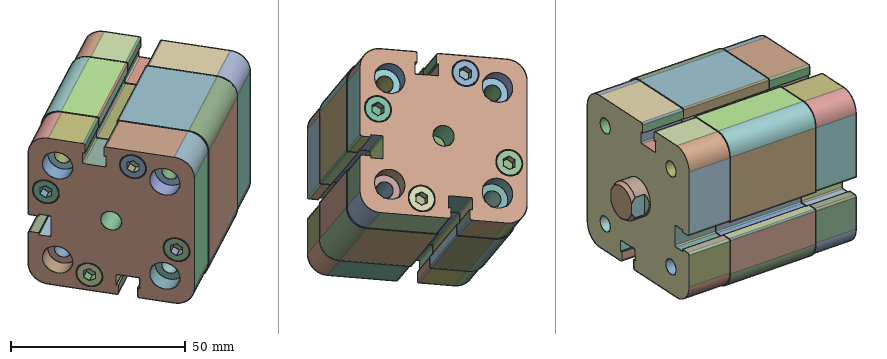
import cadquery as cq
import math


CAP_LENGTH = 14.5
BARREL_LENGTH = 30.5
HOUSING_LENGTH = 2 * CAP_LENGTH + BARREL_LENGTH

BARREL_SIDE = 50.1
CAP_INSET = 0.25
CAP_SIDE = BARREL_SIDE - 2 * CAP_INSET
CORNER_RADIUS = 6.0

SLOT_OFFSET = 5.0
SLOT_ANGLES = (0, 90, 180)
BARREL_NECK_WIDTH = 5.4
BARREL_MOUTH_RADIUS = 0.5
CAP_NECK_WIDTH = 5.7
CAP_MOUTH_RADIUS = 0.6
CAP_SLOT_WIDTH = 7.0
CAP_SLOT_FLOOR = 18.0
BARREL_SLOT_WIDTH = CAP_SLOT_WIDTH + 2 * CAP_INSET
BARREL_SLOT_FLOOR = CAP_SLOT_FLOOR - CAP_INSET
SLOT_LEDGE = 21.6
SLOT_FLOOR_RADIUS = 0.4
SLOT_OVERSHOOT = 1.0

MOUNT_SPACING = 32.0
MOUNT_DIAMETER = 4.92
MOUNT_BORE_DIAMETER = 9.0
MOUNT_BORE_DEPTH = 5.5

SCREW_X = 6.5
SCREW_Z = 19.5
SCREW_HEAD_DIAMETER = 7.5
SCREW_RECESS_DIAMETER = 8.0
SCREW_RECESS_DEPTH = 4.0
SOCKET_ACROSS_FLATS = 3.5
SOCKET_DEPTH = 3.0

CENTER_HOLE_DIAMETER = 6.25
CENTER_HOLE_DEPTH = 10.0

ROD_DIAMETER = 12.0
ROD_LENGTH = 6.0
ROD_ACROSS_FLATS = 10.0
ROD_FLAT_LENGTH = 4.6
ROD_CHAMFER_LENGTH = 1.3
ROD_CHAMFER_DEPTH = ROD_CHAMFER_LENGTH * math.tan(math.radians(30))


def section(y):
    """Workplane at height y whose local axes are X and Z and whose normal is -Y."""
    return cq.Workplane("XZ", origin=(0, y, 0))


def slot_cutter(side, neck_width, mouth_radius, slot_width, slot_floor, y_start, length):
    """T-slot prism with rounded mouth edges, on the +Z face."""
    face = side / 2
    neck = neck_width / 2
    mouth = neck + mouth_radius
    arc_reach = mouth_radius * (1 - math.sqrt(0.5))
    arc_x = neck + arc_reach
    arc_z = face - arc_reach
    top = face + SLOT_OVERSHOOT
    undercut = (
        section(y_start)
        .center(-SLOT_OFFSET, (slot_floor + SLOT_LEDGE) / 2)
        .rect(slot_width, SLOT_LEDGE - slot_floor)
        .extrude(-length)
        .edges("|Y and <Z")
        .fillet(SLOT_FLOOR_RADIUS)
    )
    throat = (
        section(y_start)
        .center(-SLOT_OFFSET, 0)
        .moveTo(neck, SLOT_LEDGE)
        .lineTo(neck, face - mouth_radius)
        .threePointArc((arc_x, arc_z), (mouth, face))
        .lineTo(mouth, top)
        .lineTo(-mouth, top)
        .lineTo(-mouth, face)
        .threePointArc((-arc_x, arc_z), (-neck, face - mouth_radius))
        .lineTo(-neck, SLOT_LEDGE)
        .close()
        .extrude(-length)
    )
    return undercut.union(throat)


def housing_segment(side, neck_width, mouth_radius, slot_width, slot_floor, y_start, length):
    """Rounded square block with the three sensor slots cut along it."""
    block = section(y_start).rect(side, side).extrude(-length).edges("|Y").fillet(CORNER_RADIUS)
    cutter = slot_cutter(side, neck_width, mouth_radius, slot_width, slot_floor, y_start, length)
    for angle in SLOT_ANGLES:
        block = block.cut(cutter.rotate((0, 0, 0), (0, -1, 0), angle))
    return block


def cap(y_start):
    """One of the two identical end blocks."""
    return housing_segment(
        side=CAP_SIDE,
        neck_width=CAP_NECK_WIDTH,
        mouth_radius=CAP_MOUTH_RADIUS,
        slot_width=CAP_SLOT_WIDTH,
        slot_floor=CAP_SLOT_FLOOR,
        y_start=y_start,
        length=CAP_LENGTH,
    )


def barrel():
    """Middle profile, standing slightly proud of the caps, with slightly larger undercuts."""
    return housing_segment(
        side=BARREL_SIDE,
        neck_width=BARREL_NECK_WIDTH,
        mouth_radius=BARREL_MOUTH_RADIUS,
        slot_width=BARREL_SLOT_WIDTH,
        slot_floor=BARREL_SLOT_FLOOR,
        y_start=CAP_LENGTH,
        length=BARREL_LENGTH,
    )


def housing():
    """End cap, barrel and bearing cap in line."""
    return cap(0).union(barrel()).union(cap(CAP_LENGTH + BARREL_LENGTH))


def mounting_holes():
    """Four through holes, each counterbored at the end face."""
    corners = section(0).rect(MOUNT_SPACING, MOUNT_SPACING, forConstruction=True).vertices()
    through = corners.circle(MOUNT_DIAMETER / 2).extrude(-HOUSING_LENGTH)
    bores = corners.circle(MOUNT_BORE_DIAMETER / 2).extrude(-MOUNT_BORE_DEPTH)
    return through.union(bores)


def screw_recesses():
    """Clearance ring and hexagon socket of the four cap screws."""
    points = [(SCREW_X, SCREW_Z), (-SCREW_Z, SCREW_X), (-SCREW_X, -SCREW_Z), (SCREW_Z, -SCREW_X)]
    rings = (
        section(0)
        .pushPoints(points)
        .circle(SCREW_RECESS_DIAMETER / 2)
        .circle(SCREW_HEAD_DIAMETER / 2)
        .extrude(-SCREW_RECESS_DEPTH)
    )
    socket_corner_diameter = SOCKET_ACROSS_FLATS / math.cos(math.pi / 6)
    socket = (
        section(0)
        .polygon(6, socket_corner_diameter)
        .extrude(-SOCKET_DEPTH)
        .rotate((0, 0, 0), (0, 1, 0), 90)
    )
    for x, z in points:
        rings = rings.union(socket.translate((x, 0, z)))
    return rings


def center_hole():
    """Blind hole on the cylinder axis."""
    return section(0).circle(CENTER_HOLE_DIAMETER / 2).extrude(-CENTER_HOLE_DEPTH)


def rod_flat_cutter():
    """Wrench flat on the +X side, running out at 45 degrees towards the housing."""
    tip = HOUSING_LENGTH + ROD_LENGTH
    flat_end = tip - ROD_FLAT_LENGTH
    flat_x = ROD_ACROSS_FLATS / 2
    runout = ROD_DIAMETER / 2 - flat_x
    return (
        cq.Workplane("XY")
        .moveTo(flat_x, tip)
        .lineTo(flat_x, flat_end)
        .lineTo(flat_x + runout, flat_end - runout)
        .lineTo(flat_x + runout, tip)
        .close()
        .extrude(ROD_DIAMETER / 2, both=True)
    )


def piston_rod():
    """Protruding rod with a slim end chamfer and two wrench flats."""
    rod = (
        section(HOUSING_LENGTH)
        .circle(ROD_DIAMETER / 2)
        .extrude(-ROD_LENGTH)
        .faces(">Y")
        .edges()
        .chamfer(ROD_CHAMFER_LENGTH, ROD_CHAMFER_DEPTH)
    )
    flat = rod_flat_cutter()
    return rod.cut(flat).cut(flat.mirror("YZ"))


result = (
    housing()
    .cut(mounting_holes())
    .cut(screw_recesses())
    .cut(center_hole())
    .union(piston_rod())
)